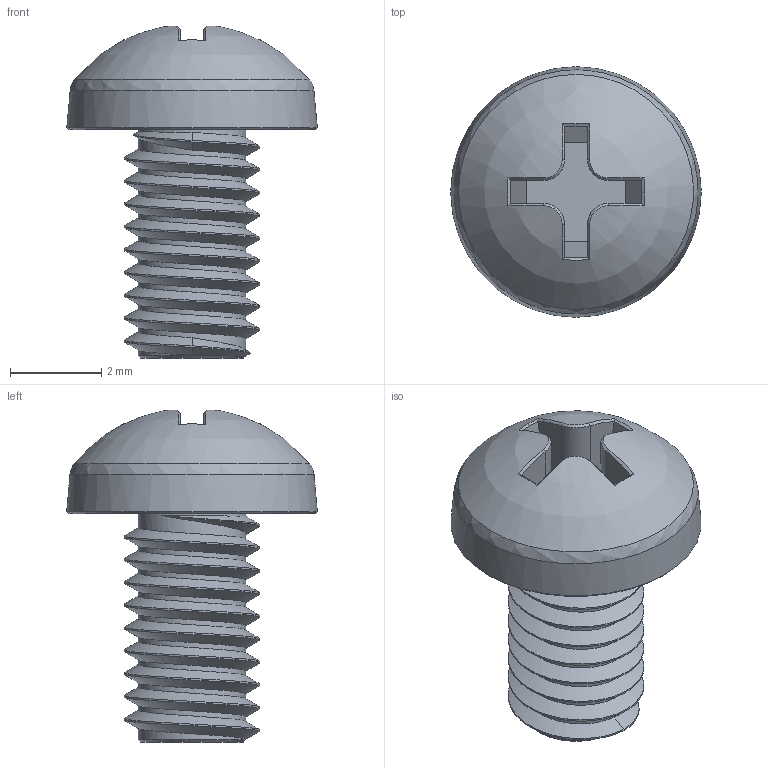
import cadquery as cq
import math

head_radius = 2.75
apex_height = 2.33
head_side_draft = 5.0
head_bottom_chamfer = 0.05
dome_radius = 3.32
rim_fillet = 0.46

arm_width = 0.51
arm_reach_at_mouth = 1.45
arm_reach_at_floor = 1.08
recess_depth = 2.35
recess_corner_radius = 0.45
recess_mouth_chamfer = 0.05

shank_length = 5.0
core_radius = 1.18
core_end_chamfer = 0.05

thread_pitch = 0.5
thread_radius = 1.488
crest_width = 0.035
flank_angle = 30.0
full_turns = 9
thread_start_angle = -90.0
thread_root_sink = 0.04
fade_turns = 0.36
fade_pitch = 0.62
fade_tip_sink = 0.02
fade_tip_scale = 0.02
points_per_turn = 24

dome_centre_z = apex_height - dome_radius
draft_slope = math.tan(math.radians(head_side_draft))
thread_root_radius = core_radius - thread_root_sink


def dome_height(radius):
    """Height of the dome's sphere at a distance from the axis."""
    return dome_centre_z + math.sqrt(dome_radius**2 - radius**2)


def dome_rim():
    """Radius and height of the circle where the drafted side meets the dome."""
    a = 1 + draft_slope**2
    b = dome_centre_z + head_radius * draft_slope
    c = dome_centre_z**2 + head_radius**2 - dome_radius**2
    height = (b + math.sqrt(b**2 - a * c)) / a
    return head_radius - draft_slope * height, height


def make_head():
    """Revolved pan head: drafted side, rounded rim and spherical dome."""
    rim_radius, rim_height = dome_rim()
    middle_radius = rim_radius / 2
    head = (
        cq.Workplane("YZ")
        .lineTo(head_radius, 0)
        .lineTo(rim_radius, rim_height)
        .threePointArc((middle_radius, dome_height(middle_radius)), (0, apex_height))
        .close()
        .revolve(360, (0, 0, 0), (0, 1, 0))
    )
    head = head.faces("%CONE").edges("%CIRCLE").edges(">Z").fillet(rim_fillet)
    return head.faces("<Z").edges().chamfer(head_bottom_chamfer)


def make_shank_core():
    """Plain cylinder under the head, chamfered at its free end."""
    core = cq.Workplane("XY").circle(core_radius).extrude(-shank_length)
    return core.faces("<Z").edges().chamfer(core_end_chamfer)


def thread_corners(turn):
    """The four corners of the thread's cross-section, `turn` turns up from its first full section."""
    overrun = max(-turn, turn - full_turns, 0)
    scale = 1 - (1 - fade_tip_scale) * overrun / fade_turns

    tip_radius = core_radius - fade_tip_sink
    crest_radius = tip_radius + (thread_radius - tip_radius) * scale
    crest_half = scale * crest_width / 2
    root_half = crest_half + (crest_radius - thread_root_radius) * math.tan(math.radians(flank_angle))

    middle_z = (turn - full_turns / 2) * thread_pitch - shank_length / 2
    middle_z += math.copysign(overrun, turn) * (fade_pitch - thread_pitch)

    angle = math.radians(thread_start_angle - 360 * turn)
    section = [
        (thread_root_radius, -root_half),
        (crest_radius, -crest_half),
        (crest_radius, crest_half),
        (thread_root_radius, root_half),
    ]
    return [
        cq.Vector(radius * math.cos(angle), radius * math.sin(angle), middle_z + rise)
        for radius, rise in section
    ]


def thread_faces(first_turn, last_turn):
    """The four helical faces of the thread between two turns."""
    steps = math.ceil((last_turn - first_turn) * points_per_turn)
    turn_step = (last_turn - first_turn) / steps
    sections = [thread_corners(first_turn + step * turn_step) for step in range(steps + 1)]
    edges = [cq.Edge.makeSpline(list(points)) for points in zip(*sections)]
    next_edges = edges[1:] + edges[:1]
    return [cq.Face.makeRuledSurface(edge, following) for edge, following in zip(edges, next_edges)]


def make_thread():
    """Solid thread rib: full turns with a fading stretch at each end, its root sunk in the core."""
    stations = [-fade_turns, 0, full_turns, full_turns + fade_turns]
    faces = []
    for first_turn, last_turn in zip(stations, stations[1:]):
        faces += thread_faces(first_turn, last_turn)
    for turn in (stations[0], stations[-1]):
        outline = cq.Wire.makePolygon(thread_corners(turn), close=True)
        faces.append(cq.Face.makeFromWires(outline))
    return cq.Workplane(cq.Solid.makeSolid(cq.Shell.makeShell(faces)))


def make_recess_arm():
    """Straight-sided bar along X whose ends slope inward towards the floor."""
    floor_z = apex_height - recess_depth
    mouth_z = dome_height(arm_reach_at_mouth)
    end_slope = (arm_reach_at_mouth - arm_reach_at_floor) / (mouth_z - floor_z)
    reach_at_top = arm_reach_at_floor + end_slope * recess_depth
    return (
        cq.Workplane("XZ")
        .moveTo(-arm_reach_at_floor, floor_z)
        .lineTo(arm_reach_at_floor, floor_z)
        .lineTo(reach_at_top, apex_height)
        .lineTo(-reach_at_top, apex_height)
        .close()
        .extrude(arm_width / 2, both=True)
    )


def cut_recess(screw):
    """Cut the cross recess and chamfer its mouth."""
    arm = make_recess_arm()
    cross = arm.union(arm.rotate((0, 0, 0), (0, 0, 1), 90))
    inner_corners = cq.selectors.BoxSelector(
        (-arm_width, -arm_width, -apex_height), (arm_width, arm_width, apex_height)
    )
    cross = cross.edges("|Z").edges(inner_corners).fillet(recess_corner_radius)
    screw = screw.cut(cross)

    reach = arm_reach_at_mouth + arm_width
    mouth_area = cq.selectors.BoxSelector(
        (-reach, -reach, dome_height(reach)), (reach, reach, apex_height), boundingbox=True
    )
    return screw.faces("%SPHERE").edges(mouth_area).chamfer(recess_mouth_chamfer)


shank = make_shank_core().union(make_thread())
result = cut_recess(make_head().union(shank))